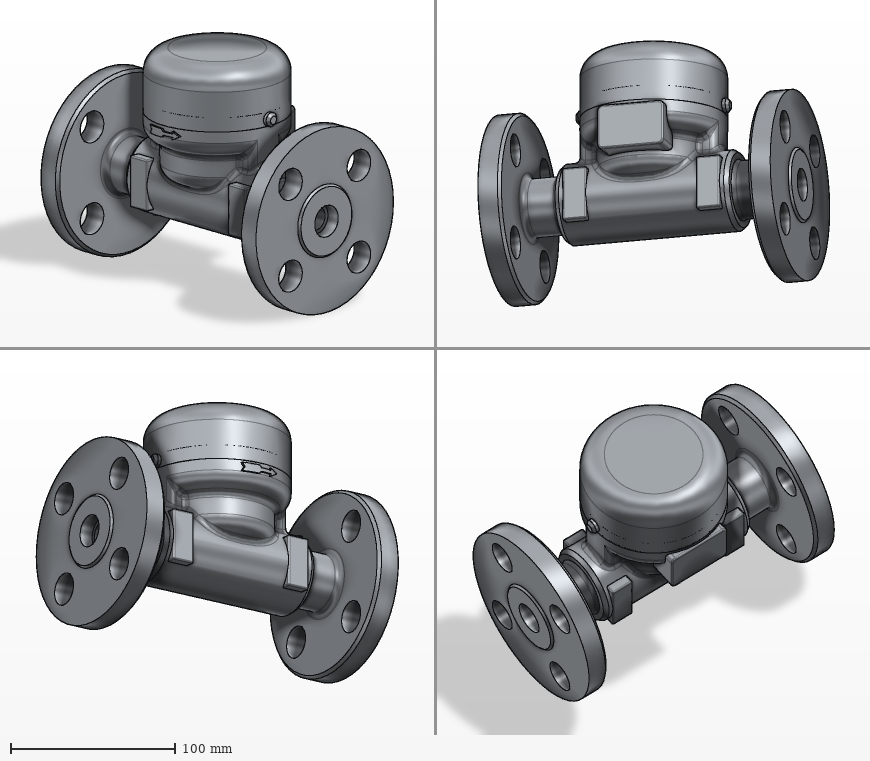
import cadquery as cq
import math

half_length = 95.0
cover_top = 90.0

flange_radius = 117.0 / 2
flange_thickness = 14.5
flange_chamfer = 1.9
raised_face_height = 1.5
raised_face_radius = 21.7
raised_face_root_radius = 23.0
neck_radius = 36.0 / 2
neck_root_fillet = 4.0
weld_length = 2.8
weld_rise = 1.0
bolt_hole_diameter = 20.0
bolt_offset = 29.0
socket_diameter = 20.0
socket_depth = 9.0
bore_diameter = 15.0

barrel_radius = 50.0 / 2
barrel_half_length = 55.7
barrel_chamfer_length = 2.8
barrel_chamfer_depth = 2.0
pad_width = 15.0
pad_height = 32.5
pad_offset = 42.8
pad_face = 25.3
pad_round = 1.0

bowl_radius = 90.0 / 2
seam_height = 49.8
bowl_round_top = 42.5
bowl_round = 10.0
throat_radius = 35.0
throat_fillet = 5.0
throat_round_top = 17.9
spigot_radius = 88.5 / 2
spigot_height = 9.0
bowl_blend = 4.0

web_width = 25.0
web_round = 4.5

plate_width = 42.2
plate_top = 47.9
plate_bottom = 20.3
plate_face = 46.4
plate_inner = 19.0
plate_corner = 3.2
plate_round = 1.1

arrow_half_length = 12.7
arrow_head_length = 5.1
arrow_tail_length = 11.5
arrow_tail_notch = 1.7
arrow_half_height = 2.7
arrow_shaft_half_height = 1.1
arrow_height = 45.2
arrow_face = 46.4

dome_round = 15.0
boss_diameter = 9.0
boss_height = 54.3
boss_tip = 49.0
boss_chamfer = 1.9

match_tolerance = 0.02


def box_between(x_range, y_range, z_range):
    """Box that fills the given ranges along X, Y and Z."""
    (x0, x1), (y0, y1), (z0, z1) = x_range, y_range, z_range
    return cq.Workplane("XY").box(x1 - x0, y1 - y0, z1 - z0, centered=False).translate((x0, y0, z0))


def make_flange(side):
    """One weld-neck flange, turned about X; side is -1 for the -X end and +1 for the +X end."""
    front = half_length - raised_face_height
    back = front - flange_thickness
    weld_start = barrel_half_length + weld_length
    weld_bulge = (weld_length / 2, weld_rise / 4)
    outline = (
        cq.Workplane("XY")
        .moveTo(half_length, 0)
        .lineTo(half_length, raised_face_radius)
        .lineTo(front, raised_face_root_radius)
        .lineTo(front, flange_radius)
        .lineTo(back + flange_chamfer, flange_radius)
        .lineTo(back, flange_radius - flange_chamfer)
        .lineTo(back, neck_radius + neck_root_fillet)
        .radiusArc((back - neck_root_fillet, neck_radius), neck_root_fillet)
        .lineTo(weld_start, neck_radius)
        .threePointArc(
            (weld_start - weld_bulge[0], neck_radius + weld_bulge[1]),
            (barrel_half_length, neck_radius + weld_rise),
        )
        .lineTo(barrel_half_length, 0)
        .close()
    )
    flange = outline.revolve(360, (0, 0, 0), (1, 0, 0))
    bolt_holes = (
        cq.Workplane("YZ", origin=(back, 0, 0))
        .rect(2 * bolt_offset, 2 * bolt_offset, forConstruction=True)
        .vertices()
        .circle(bolt_hole_diameter / 2)
        .extrude(flange_thickness)
    )
    bore = cq.Workplane("YZ").circle(bore_diameter / 2).extrude(half_length)
    socket = (
        cq.Workplane("YZ", origin=(half_length - socket_depth, 0, 0))
        .circle(socket_diameter / 2)
        .extrude(socket_depth)
    )
    flange = flange.cut(bolt_holes).cut(bore).cut(socket)
    return flange if side > 0 else flange.mirror("YZ")


def make_barrel():
    """Horizontal barrel, turned about X, with a chamfer at each end."""
    end_radius = barrel_radius - barrel_chamfer_depth
    shoulder = barrel_half_length - barrel_chamfer_length
    return (
        cq.Workplane("XY")
        .moveTo(-barrel_half_length, 0)
        .lineTo(-barrel_half_length, end_radius)
        .lineTo(-shoulder, barrel_radius)
        .lineTo(shoulder, barrel_radius)
        .lineTo(barrel_half_length, end_radius)
        .lineTo(barrel_half_length, 0)
        .close()
        .revolve(360, (0, 0, 0), (1, 0, 0))
    )


def make_bowl():
    """Bowl and throat, turned about Z; two tangent arcs join the bowl wall to the throat."""
    round_centre_r = bowl_radius - bowl_round
    fillet_centre_r = throat_radius + throat_fillet
    across = fillet_centre_r - round_centre_r
    reach = bowl_round + throat_fillet
    drop = math.sqrt(reach**2 - across**2)
    throat_top = bowl_round_top - drop
    tangent = (
        round_centre_r + across * bowl_round / reach,
        bowl_round_top - drop * bowl_round / reach,
    )
    throat_bottom = throat_round_top - bowl_round
    return (
        cq.Workplane("XZ")
        .moveTo(0, seam_height)
        .lineTo(bowl_radius, seam_height)
        .lineTo(bowl_radius, bowl_round_top)
        .radiusArc(tangent, bowl_round)
        .radiusArc((throat_radius, throat_top), -throat_fillet)
        .lineTo(throat_radius, throat_round_top)
        .radiusArc((throat_radius - bowl_round, throat_bottom), bowl_round)
        .lineTo(0, throat_bottom)
        .close()
        .revolve(360, (0, 0, 0), (0, 1, 0))
    )


def make_webs():
    """Two upright webs whose outer faces carry on the bowl wall down to the barrel."""
    slab = box_between((-bowl_radius, bowl_radius), (-web_width / 2, web_width / 2), (0, seam_height))
    wall = cq.Workplane("XY").circle(bowl_radius).extrude(seam_height)
    return slab.intersect(wall).edges("|Z").fillet(web_round)


def make_pads():
    """Two blocks through the barrel that give a pair of flats near each end."""
    pad = (
        cq.Workplane("XY")
        .box(pad_width, 2 * pad_face, pad_height)
        .edges("|Y or >Y or <Y")
        .fillet(pad_round)
    )
    return pad.translate((-pad_offset, 0, 0)).union(pad.translate((pad_offset, 0, 0)))


def make_name_plate():
    """Plate boss on the +Y side, running in to the bowl and the throat."""
    return (
        box_between(
            (-plate_width / 2, plate_width / 2), (plate_inner, plate_face), (plate_bottom, plate_top)
        )
        .edges("|Y")
        .fillet(plate_corner)
        .faces(">Y")
        .edges()
        .fillet(plate_round)
    )


def make_arrow():
    """Raised arrow on the bowl wall, pointing along +X."""
    head_start = arrow_half_length - arrow_head_length
    tail_end = arrow_tail_length - arrow_half_length
    outline = [
        (-arrow_half_length, arrow_half_height),
        (tail_end, arrow_half_height),
        (tail_end + arrow_tail_notch, arrow_shaft_half_height),
        (head_start, arrow_shaft_half_height),
        (head_start, arrow_half_height),
        (arrow_half_length, 0),
        (head_start, -arrow_half_height),
        (head_start, -arrow_shaft_half_height),
        (tail_end + arrow_tail_notch, -arrow_shaft_half_height),
        (tail_end, -arrow_half_height),
        (-arrow_half_length, -arrow_half_height),
        (-arrow_half_length + arrow_tail_notch, 0),
    ]
    block = (
        cq.Workplane("XZ", origin=(0, 0, arrow_height)).polyline(outline).close().extrude(arrow_face)
    )
    rim = cq.Workplane("XY").circle(arrow_face).extrude(seam_height)
    core = cq.Workplane("XY").circle(throat_radius).extrude(seam_height)
    return block.intersect(rim).cut(core)


def make_spigot():
    """Low disc above the seam that centres the cover."""
    return cq.Workplane("XY", origin=(0, 0, seam_height)).circle(spigot_radius).extrude(spigot_height)


def is_on_barrel(edge):
    """True for the joint lines of the bowl and the webs with the round of the barrel."""
    middle = edge.positionAt(0.5)
    near_surface = abs(math.hypot(middle.y, middle.z) - barrel_radius) < match_tolerance
    return near_surface and abs(middle.x) < bowl_radius + match_tolerance and middle.z > match_tolerance


def is_web_on_throat(edge):
    """True for the upright lines where the web flanks meet the throat."""
    middle = edge.positionAt(0.5)
    on_flank = abs(abs(middle.y) - web_width / 2) < match_tolerance
    return on_flank and abs(math.hypot(middle.x, middle.y) - throat_radius) < match_tolerance


def blend_joints(body):
    """Fillets every inside corner between bowl, webs and barrel."""
    joints = [edge for edge in body.edges().vals() if is_on_barrel(edge) or is_web_on_throat(edge)]
    return cq.Workplane(body.val().fillet(bowl_blend, joints))


def make_body():
    """Barrel, bowl, webs, pads, plate boss, arrow and spigot as one casting."""
    body = blend_joints(make_bowl().union(make_webs()).union(make_barrel()))
    return body.union(make_pads()).union(make_name_plate()).union(make_arrow()).union(make_spigot())


def make_cover():
    """Domed cover with a small round boss at each X end and a recess for the spigot."""
    cover = (
        cq.Workplane("XY", origin=(0, 0, seam_height))
        .circle(bowl_radius)
        .extrude(cover_top - seam_height)
        .faces(">Z")
        .edges()
        .fillet(dome_round)
    )
    bosses = (
        cq.Workplane("YZ", origin=(-boss_tip, 0, boss_height))
        .circle(boss_diameter / 2)
        .extrude(2 * boss_tip)
        .faces("<X or >X")
        .edges()
        .chamfer(boss_chamfer)
    )
    return cover.union(bosses).cut(make_spigot())


body = make_body()
cover = make_cover()
flanges = [make_flange(side) for side in (-1, 1)]

result = cq.Compound.makeCompound([body.val(), cover.val(), *[flange.val() for flange in flanges]])